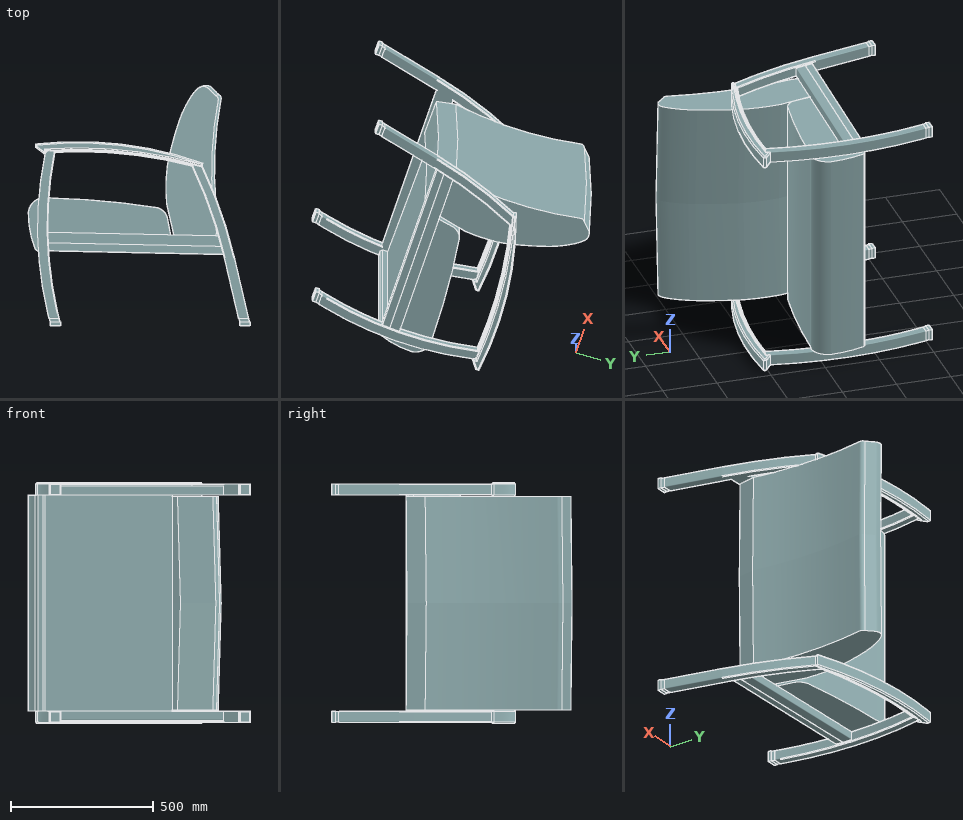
import cadquery as cq
import math


OVERALL_DEPTH = 781.99
OVERALL_HEIGHT = 847.33
OVERALL_WIDTH = 847.73

SEAT_HALF_WIDTH = 380.0
BACK_HALF_WIDTH = 376.0

LEG_THICKNESS = 40.0
LEG_DEPTH = 36.5
FRAME_FILLET = 3.0
GLIDE_HEIGHT = 26.0
FRAME_INNER_Z = SEAT_HALF_WIDTH
FRAME_MID_Z = FRAME_INNER_Z + LEG_THICKNESS / 2

FRONT_LEG_FOOT_X = 73.0
FRONT_LEG_BEND = (68.0, 47.0)
FRONT_LEG_TOP = (62.0, 618.5)
REAR_LEG_FOOT_X = 740.0
REAR_LEG_BEND = (690.0, 240.0)
REAR_LEG_TOP = (576.5, 563.0)

BAR_FRONT_RADIUS = 20.0
BAR_TOP_CROWN = (290.0, 618.0)
BAR_BOTTOM_CROWN = (290.0, 609.5)
BAR_INNER_CORNER = (94.5, 611.0)

RAIL_SLOPE = 0.0208
RAIL_HEIGHT = 66.0
RAIL_LOWER_HEIGHT = 29.0
RAIL_THICKNESS = 33.0
RAIL_STEP = 0.5
RAIL_FRONT_X = 52.0
RAIL_REAR_X = 692.0
RAIL_FRONT_BOTTOM_Y = 264.5

CAP_CHAMFER = 5.0
CAP_WIDTH = OVERALL_WIDTH - 2 * FRAME_MID_Z
CAP_NOSE_X = 26.0

GLIDE_BASE_HEIGHT = 14.5
GLIDE_BASE_DEPTH = 38.0
GLIDE_CHAMFER = 2.5
GLIDE_NECK_INSET = 1.0

BACK_MIDDLE_SHIFT = (10.5, 4.0)
BACK_TOP_Y = OVERALL_HEIGHT - BACK_MIDDLE_SHIFT[1]


def shifted(point, dx, dy=0.0):
    return (point[0] + dx, point[1] + dy)


def extrude_centred(profile, thickness, middle_z):
    return profile.extrude(thickness / 2, both=True).translate((0, 0, middle_z))


def make_seat():
    profile = (
        cq.Workplane("XY")
        .moveTo(0, 400)
        .threePointArc((7.5, 327), (24, 271.5))
        .lineTo(34, 263)
        .lineTo(53, 263)
        .lineTo(60, 270)
        .lineTo(60, 289)
        .lineTo(508, 289)
        .lineTo(490, 383)
        .threePointArc((478, 403), (455, 417))
        .threePointArc((270, 440), (80, 451))
        .threePointArc((20, 438), (0, 400))
        .close()
    )
    return profile.extrude(SEAT_HALF_WIDTH, both=True)


def back_section(dx, dy, z):
    def at(x, y):
        return (x + dx, y + dy)

    return (
        cq.Workplane("XY", origin=(0, 0, z))
        .moveTo(*at(525.5, 262.5))
        .lineTo(*at(487, 430))
        .threePointArc(at(484.5, 475), at(489, 561))
        .lineTo(*at(492, 579))
        .threePointArc(at(509, 650), at(532, 725))
        .lineTo(*at(541, 748))
        .lineTo(*at(548, 763))
        .threePointArc(at(556, 779), at(564, 793))
        .threePointArc(at(577, 814), at(594, 834))
        .threePointArc(at(616.1, BACK_TOP_Y), at(633, 838))
        .lineTo(*at(660, 811))
        .threePointArc(at(667.5, 804), at(669, 795))
        .threePointArc(at(646, 575), at(663, 330))
        .lineTo(*at(650, 262.5))
        .close()
        .wires()
        .val()
    )


def make_back():
    sections = [
        back_section(0, 0, -BACK_HALF_WIDTH),
        back_section(*BACK_MIDDLE_SHIFT, 0),
        back_section(0, 0, BACK_HALF_WIDTH),
    ]
    return cq.Workplane(cq.Solid.makeLoft(sections, True))


def make_rail():
    run = RAIL_REAR_X - RAIL_FRONT_X
    drop = run * RAIL_SLOPE

    def band(bottom, height, thickness):
        return (
            cq.Workplane("XY")
            .moveTo(RAIL_FRONT_X, bottom)
            .lineTo(RAIL_REAR_X, bottom - drop)
            .lineTo(RAIL_REAR_X, bottom - drop + height)
            .lineTo(RAIL_FRONT_X, bottom + height)
            .close()
            .extrude(thickness)
            .translate((0, 0, FRAME_INNER_Z))
        )

    bar = band(RAIL_FRONT_BOTTOM_Y, RAIL_HEIGHT, RAIL_THICKNESS)
    bar = bar.faces("|Z").edges("not |Y").fillet(FRAME_FILLET)
    recess = band(RAIL_FRONT_BOTTOM_Y, RAIL_LOWER_HEIGHT, RAIL_THICKNESS)
    recess = recess.translate((0, 0, RAIL_THICKNESS - RAIL_STEP))
    return bar.cut(recess)


def arc_tangent_to_foot(foot_x, bend, top):
    """Middle point of the arc from bend to top that continues the line from the foot."""
    foot_angle = math.atan2(bend[1] - GLIDE_HEIGHT, bend[0] - foot_x)
    chord_x = top[0] - bend[0]
    chord_y = top[1] - bend[1]
    turn = foot_angle - math.atan2(chord_y, chord_x)
    rise = math.tan(turn / 2) / 2
    return ((bend[0] + top[0]) / 2 - rise * chord_y, (bend[1] + top[1]) / 2 + rise * chord_x)


def make_bent_bar(thickness):
    front_bow = arc_tangent_to_foot(FRONT_LEG_FOOT_X, FRONT_LEG_BEND, FRONT_LEG_TOP)
    rear_bow = arc_tangent_to_foot(REAR_LEG_FOOT_X, REAR_LEG_BEND, REAR_LEG_TOP)
    bar = (
        cq.Workplane("XY")
        .moveTo(FRONT_LEG_FOOT_X, GLIDE_HEIGHT)
        .lineTo(*FRONT_LEG_BEND)
        .threePointArc(front_bow, FRONT_LEG_TOP)
        .threePointArc(BAR_TOP_CROWN, shifted(REAR_LEG_TOP, LEG_DEPTH))
        .threePointArc(shifted(rear_bow, LEG_DEPTH), shifted(REAR_LEG_BEND, LEG_DEPTH))
        .lineTo(REAR_LEG_FOOT_X + LEG_DEPTH, GLIDE_HEIGHT)
        .lineTo(REAR_LEG_FOOT_X, GLIDE_HEIGHT)
        .lineTo(*REAR_LEG_BEND)
        .threePointArc(rear_bow, REAR_LEG_TOP)
        .threePointArc(BAR_BOTTOM_CROWN, BAR_INNER_CORNER)
        .threePointArc(shifted(front_bow, LEG_DEPTH), shifted(FRONT_LEG_BEND, LEG_DEPTH))
        .lineTo(FRONT_LEG_FOOT_X + LEG_DEPTH, GLIDE_HEIGHT)
        .close()
    )
    bar = extrude_centred(bar, thickness, FRAME_MID_Z)
    front_corner = cq.selectors.NearestToPointSelector((*FRONT_LEG_TOP, FRAME_MID_Z))
    return bar.edges(front_corner).fillet(BAR_FRONT_RADIUS)


def make_frame():
    bar = make_bent_bar(LEG_THICKNESS)
    for side in (">Z", "<Z"):
        bar = bar.faces(side).edges().fillet(FRAME_FILLET)
    return bar.union(make_rail())


def make_cap():
    cap = (
        cq.Workplane("XY")
        .moveTo(CAP_NOSE_X, 629)
        .lineTo(CAP_NOSE_X, 641)
        .threePointArc((169, 649.5), (615, 573))
        .lineTo(*shifted(REAR_LEG_TOP, LEG_DEPTH))
        .threePointArc(BAR_TOP_CROWN, FRONT_LEG_TOP)
        .lineTo(62, 602)
        .close()
    )
    cap = extrude_centred(cap, CAP_WIDTH, FRAME_MID_Z)
    cap = cap.faces("|Z").edges().chamfer(CAP_CHAMFER)
    return cap.cut(make_bent_bar(CAP_WIDTH))


def make_glide(leg_foot_x, base_rear_x):
    base_front_x = base_rear_x - GLIDE_BASE_DEPTH
    base = (
        cq.Workplane("XY")
        .moveTo(base_front_x, 0)
        .lineTo(base_rear_x, 0)
        .lineTo(base_rear_x, GLIDE_BASE_HEIGHT)
        .lineTo(base_front_x, GLIDE_BASE_HEIGHT)
        .close()
    )
    base = extrude_centred(base, LEG_THICKNESS, FRAME_MID_Z)
    base = base.faces("<Y").chamfer(GLIDE_CHAMFER)
    neck = (
        cq.Workplane("XY")
        .moveTo(base_front_x + GLIDE_NECK_INSET, GLIDE_BASE_HEIGHT)
        .lineTo(base_rear_x - 2 * GLIDE_NECK_INSET, GLIDE_BASE_HEIGHT)
        .lineTo(leg_foot_x + LEG_DEPTH - GLIDE_NECK_INSET, GLIDE_HEIGHT)
        .lineTo(leg_foot_x + GLIDE_NECK_INSET, GLIDE_HEIGHT)
        .close()
    )
    neck = extrude_centred(neck, LEG_THICKNESS - 2 * GLIDE_NECK_INSET, FRAME_MID_Z)
    return base.union(neck)


FRONT_GLIDE_REAR_X = OVERALL_DEPTH - (REAR_LEG_FOOT_X - FRONT_LEG_FOOT_X)

seat = make_seat()
back = make_back()
frame = make_frame()
cap = make_cap()
front_glide = make_glide(FRONT_LEG_FOOT_X, FRONT_GLIDE_REAR_X)
rear_glide = make_glide(REAR_LEG_FOOT_X, OVERALL_DEPTH)

bodies = [seat.val(), back.val()]
for side_part in (frame, cap, front_glide, rear_glide):
    bodies.append(side_part.val())
    bodies.append(side_part.mirror("XY").val())

result = cq.Compound.makeCompound(bodies)